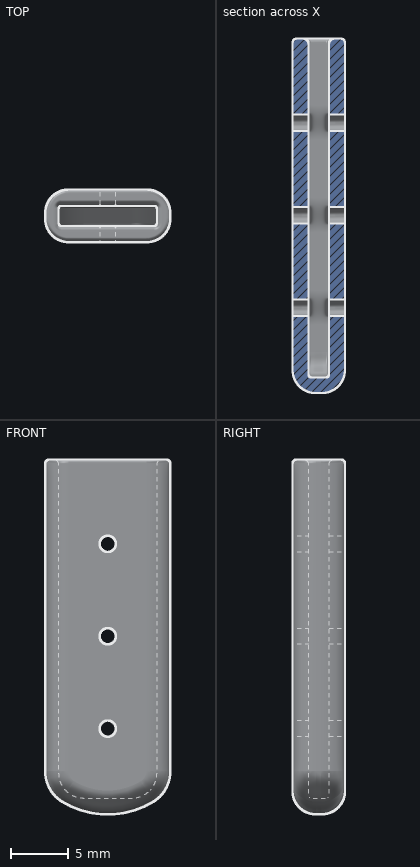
import cadquery as cq
import math

width = 11.0
thickness = 4.65
height = 31.13
side_fillet = 2.1
end_radius = 7.65
corner_height = 3.8
outer_rim_fillet = 0.4

pocket_width = 8.6
pocket_thickness = 1.77
pocket_edge_fillet = 0.235
pocket_floor = 1.43
pocket_corner_radius = 2.2
inner_rim_fillet = 0.5

hole_diameter = 1.4
hole_spacing = 8.1
middle_hole_height = 15.63

half_width = width / 2

corner_drop = end_radius - corner_height
corner_radius = (end_radius**2 - half_width**2 - corner_drop**2) / (2 * (end_radius - half_width))
corner_center_x = half_width - corner_radius


def end_arc_point(angle):
    """Point on the end arc, with the angle measured from straight down."""
    return end_radius * math.sin(angle), end_radius * (1 - math.cos(angle))


def corner_arc_point(angle):
    """Point on the right corner arc, with the angle measured from straight down."""
    x = corner_center_x + corner_radius * math.sin(angle)
    z = corner_height - corner_radius * math.cos(angle)
    return x, z


def mirrored(point):
    return -point[0], point[1]


def make_body():
    join_angle = math.asin(corner_center_x / (end_radius - corner_radius))
    join = end_arc_point(join_angle)
    corner_middle = corner_arc_point((join_angle + math.pi / 2) / 2)
    body = (
        cq.Workplane("XZ")
        .moveTo(half_width, height)
        .lineTo(half_width, corner_height)
        .threePointArc(corner_middle, join)
        .threePointArc((0, 0), mirrored(join))
        .threePointArc(mirrored(corner_middle), (-half_width, corner_height))
        .lineTo(-half_width, height)
        .close()
        .extrude(thickness / 2, both=True)
    )
    body = body.faces("<Y or >Y").edges("not >Z").fillet(side_fillet)
    return body.faces(">Z").edges().fillet(outer_rim_fillet)


def make_pocket():
    """Pocket with rounded lower corners, reaching the open top."""
    overshoot = 1.55
    blank_height = height + overshoot - pocket_floor
    blank = (
        cq.Workplane("XY", origin=(0, 0, pocket_floor))
        .box(pocket_width, pocket_thickness, blank_height, centered=(True, True, False))
        .edges("|Y and <Z")
        .fillet(pocket_corner_radius)
    )
    return blank.faces("<Y or >Y").edges().fillet(pocket_edge_fillet)


def make_holes():
    centers = [(0, middle_hole_height + step * hole_spacing) for step in (-1, 0, 1)]
    return cq.Workplane("XZ").pushPoints(centers).circle(hole_diameter / 2).extrude(thickness, both=True)


sleeve = make_body().cut(make_pocket())
pocket_rim = sleeve.faces(">Z").val().innerWires()[0].Edges()
sleeve = sleeve.newObject(pocket_rim).fillet(inner_rim_fillet)

result = sleeve.cut(make_holes())